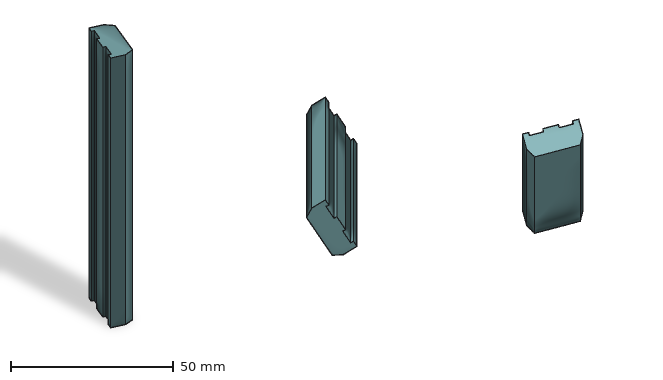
import cadquery as cq

width = 18.0
depth = 8.0
length = 100.0

bevel_width = 1.7
bevel_depth = 3.0

center_land_width = 5.0
groove_width = 4.5
groove_depth = 1.0

front_y = -depth / 2
back_y = depth / 2


def bar_body():
    """Rectangular bar with bevelled back edges, extruded along Z."""
    outline = [
        (-width / 2, front_y),
        (width / 2, front_y),
        (width / 2, back_y - bevel_depth),
        (width / 2 - bevel_width, back_y),
        (-width / 2 + bevel_width, back_y),
        (-width / 2, back_y - bevel_depth),
    ]
    return cq.Workplane("XY").polyline(outline).close().extrude(length)


def groove(side):
    """Cutter for the full-length groove on one side (-1 or 1) of the land."""
    center_x = side * (center_land_width + groove_width) / 2
    return (
        cq.Workplane("XY")
        .center(center_x, front_y)
        .rect(groove_width, 2 * groove_depth)
        .extrude(length)
    )


result = bar_body()
for side in (-1, 1):
    result = result.cut(groove(side))